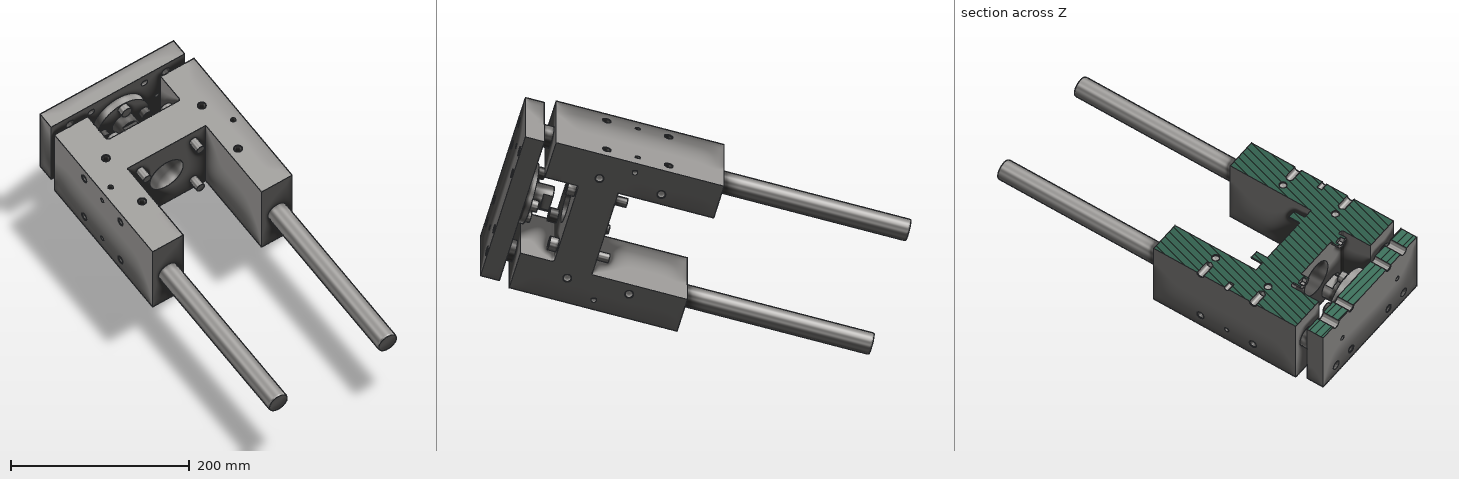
import cadquery as cq
import math


total_length = 451.0
plate_thickness = 22.0
plate_width = 181.0
plate_height = 99.0
rod_diameter = 25.0
rod_pitch = 148.0
rod_end_taper_length = 2.0
rod_end_taper_inset = 0.5
flange_diameter = 70.0
flange_thickness = 10.0
hub_diameter = 29.0
hub_length = 34.0
hub_flat_length = 11.0
hub_across_flats = 22.5
flange_screw_count = 4
flange_screw_circle_radius = 28.0
flange_head_diameter = 13.0
flange_head_height = 8.0

housing_start = 34.7
housing_length = 195.7
housing_width = 189.0
housing_height = 105.0
front_pocket_depth = 39.2
front_pocket_width = 98.8
front_pocket_fillet = 3.0
rear_pocket_width = 106.0
web_thickness = 45.0
web_bore_diameter = 45.0
web_screw_head_diameter = 16.0
web_screw_head_height = 10.0
web_screw_diameter = 10.5
web_screw_projection = 15.0
socket_across_flats = 8.0
socket_depth = 5.5

bolt_pitch = 72.0
wide_bolt_pitch = 130.0
tapped_diameter = 8.5
tapped_rim_diameter = 10.0
tapped_depth = 18.0
plate_clearance_diameter = 11.0
drill_point_angle = 118.0
dowel_diameter = 6.0
dowel_depth = 10.0
top_dowel_pitch = 166.0
hole_pattern_offset = 95.0
plate_dowel_pitch = 106.0

web_front = housing_start + front_pocket_depth
web_rear = web_front + web_thickness
housing_end = housing_start + housing_length
hole_center_x = housing_start + hole_pattern_offset

TOWARD_X = cq.Vector(1, 0, 0)
TOWARD_Y = cq.Vector(0, 1, 0)
TOWARD_Z = cq.Vector(0, 0, 1)


def pair(pitch):
    """Two symmetric positions, one pitch apart."""
    return (-pitch / 2, pitch / 2)


def block(x_start, length, width, height):
    """Box centred on the drive axis."""
    workplane = cq.Workplane("XY", origin=(x_start, 0, 0))
    return workplane.box(length, width, height, centered=(False, True, True))


def cylinder(start, direction, diameter, length):
    return cq.Solid.makeCylinder(diameter / 2, length, cq.Vector(*start), direction)


def rim_chamfer(start, direction):
    """Conical countersink from the rim of a tapped hole down to its bore."""
    depth = (tapped_rim_diameter - tapped_diameter) / 2
    return cq.Solid.makeCone(
        tapped_rim_diameter / 2, tapped_diameter / 2, depth, cq.Vector(*start), direction
    )


def blind_tapped_hole(start, direction):
    """Chamfered bore with a drill point at its bottom."""
    bore = cylinder(start, direction, tapped_diameter, tapped_depth)
    point_depth = tapped_diameter / 2 / math.tan(math.radians(drill_point_angle / 2))
    bottom = cq.Vector(*start) + direction * tapped_depth
    point = cq.Solid.makeCone(tapped_diameter / 2, 0, point_depth, bottom, direction)
    return bore.fuse(point, rim_chamfer(start, direction))


def make_plate():
    plate = block(0, plate_thickness, plate_width, plate_height)
    for z in pair(bolt_pitch):
        for y in pair(wide_bolt_pitch):
            plate = plate.cut(cylinder((0, y, z), TOWARD_X, plate_clearance_diameter, plate_thickness))
        for y in pair(bolt_pitch):
            plate = plate.cut(cylinder((0, y, z), TOWARD_X, tapped_diameter, plate_thickness))
            plate = plate.cut(rim_chamfer((0, y, z), TOWARD_X))
    for y in pair(plate_dowel_pitch):
        plate = plate.cut(cylinder((0, y, 0), TOWARD_X, dowel_diameter, plate_thickness))
    return plate


def make_coupling():
    """Flange with screw heads, and a hub with two wrench flats at its end."""
    hub_end = plate_thickness + hub_length
    flat_start = hub_end - hub_flat_length
    hub = cq.Workplane(cylinder((plate_thickness, 0, 0), TOWARD_X, hub_diameter, hub_length))
    flat_zone = block(flat_start, hub_flat_length, hub_diameter, hub_diameter)
    kept_zone = block(flat_start, hub_flat_length, hub_diameter, hub_across_flats)
    hub = hub.cut(flat_zone.cut(kept_zone))

    flange = cylinder((plate_thickness, 0, 0), TOWARD_X, flange_diameter, flange_thickness)
    coupling = hub.union(cq.Workplane(flange))
    for i in range(flange_screw_count):
        angle = 2 * math.pi * i / flange_screw_count
        y = flange_screw_circle_radius * math.cos(angle)
        z = flange_screw_circle_radius * math.sin(angle)
        seat = (plate_thickness + flange_thickness, y, z)
        coupling = coupling.union(
            cq.Workplane(cylinder(seat, TOWARD_X, flange_head_diameter, flange_head_height))
        )
    return coupling


def make_rod(y):
    """Guide rod with a slender lead-in taper at its free end."""
    taper_start = total_length - rod_end_taper_length
    shaft = cylinder((plate_thickness, y, 0), TOWARD_X, rod_diameter, taper_start - plate_thickness)
    taper = cq.Solid.makeCone(
        rod_diameter / 2,
        rod_diameter / 2 - rod_end_taper_inset,
        rod_end_taper_length,
        cq.Vector(taper_start, y, 0),
        TOWARD_X,
    )
    return cq.Workplane(shaft).union(cq.Workplane(taper))


def make_carriage():
    carriage = make_plate().union(make_coupling())
    for y in pair(rod_pitch):
        carriage = carriage.union(make_rod(y))
    return carriage


def make_web_screw(y, z):
    """Socket-head screw: head in the front pocket, tip projecting behind the web."""
    head_start = web_front - web_screw_head_height
    head = cylinder((head_start, y, z), TOWARD_X, web_screw_head_diameter, web_screw_head_height)
    shank_length = web_thickness + web_screw_projection
    shank = cylinder((web_front, y, z), TOWARD_X, web_screw_diameter, shank_length)
    across_corners = socket_across_flats / math.cos(math.pi / 6)
    socket = (
        cq.Workplane("YZ", origin=(head_start, y, z)).polygon(6, across_corners).extrude(socket_depth)
    )
    return cq.Workplane(head).union(cq.Workplane(shank)).cut(socket)


def make_housing_block():
    """H-shaped block with filleted inner corners in its front pocket."""
    front_pocket = block(housing_start, front_pocket_depth, front_pocket_width, housing_height)
    front_pocket = front_pocket.faces(">X").edges("|Z").fillet(front_pocket_fillet)
    rear_pocket = block(web_rear, housing_end - web_rear, rear_pocket_width, housing_height)
    body = block(housing_start, housing_length, housing_width, housing_height)
    return body.cut(front_pocket).cut(rear_pocket)


def cut_face_holes(body):
    """Tapped and dowel holes in the top, bottom and both side faces."""
    for side in (-1, 1):
        face_z = side * housing_height / 2
        face_y = side * housing_width / 2
        for x_offset in pair(bolt_pitch):
            x = hole_center_x + x_offset
            for y in pair(wide_bolt_pitch):
                body = body.cut(blind_tapped_hole((x, y, face_z), TOWARD_Z * -side))
            for z in pair(bolt_pitch):
                body = body.cut(blind_tapped_hole((x, face_y, z), TOWARD_Y * -side))
        for y in pair(top_dowel_pitch):
            start = (hole_center_x, y, face_z)
            body = body.cut(cylinder(start, TOWARD_Z * -side, dowel_diameter, dowel_depth))
        for z in pair(bolt_pitch):
            start = (hole_center_x, face_y, z)
            body = body.cut(cylinder(start, TOWARD_Y * -side, dowel_diameter, dowel_depth))
    return body


def make_housing():
    housing = cut_face_holes(make_housing_block())
    for y in pair(rod_pitch):
        housing = housing.cut(cylinder((housing_start, y, 0), TOWARD_X, rod_diameter, housing_length))
    housing = housing.cut(cylinder((web_front, 0, 0), TOWARD_X, web_bore_diameter, web_thickness))
    for y in pair(bolt_pitch):
        for z in pair(bolt_pitch):
            housing = housing.union(make_web_screw(y, z))
    return housing


carriage = make_carriage()
housing = make_housing()

result = cq.Compound.makeCompound([carriage.solids().val(), housing.solids().val()])